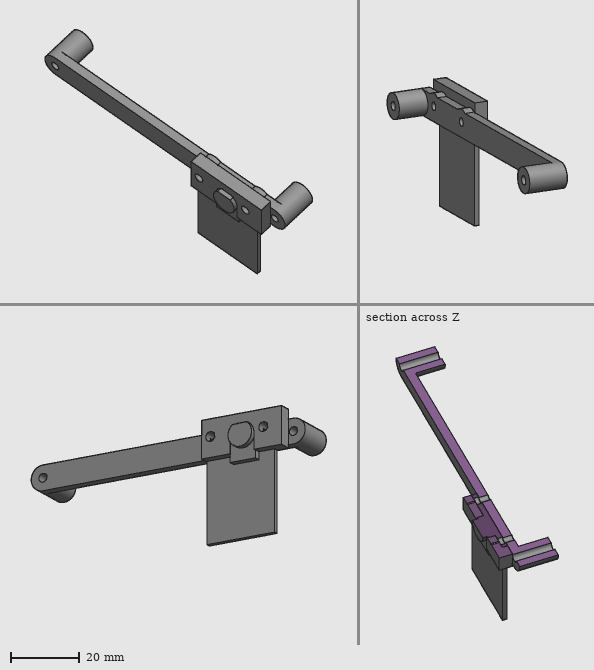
import cadquery as cq


overall_length = 93.0
arm_height = 8.0
arm_thickness = 3.0
post_length = 12.4
post_hole_diameter = 2.7
post_x = (overall_length - arm_height) / 2
lug_diameter = 8.0
lug_hole_diameter = 2.5
lug_z = 0.7

block_width = 27.2
block_height = 12.0
block_depth = 4.2
block_left = 13.8
block_top = 7.0
block_bottom = block_top - block_height

block_hole_diameter = 3.0
block_hole_z = 1.5
screw_spacing = 17.95
screw_left_x = 16.7
screw_xs = [screw_left_x, screw_left_x + screw_spacing]

plate_width = 23.0
plate_thickness = 1.5
plate_left = 14.0
plate_right = plate_left + plate_width
plate_top = 1.3
plate_bottom = -30.8
tongue_width = 8.65
tongue_bottom = -7.5
tongue_front = 3.6
button_diameter = 8.0
button_x = 27.4
button_z = 0.3
button_flat_z = 3.4
button_front = 5.4

travel_gap = 0.6
slot_side_gap = 0.1
slot_diameter = button_diameter + 2 * slot_side_gap
slot_flat_z = button_flat_z + travel_gap
pocket_top = plate_top + travel_gap


def box_between(x_min, x_max, y_min, y_max, z_min, z_max):
    """Axis-aligned box given by its limits."""
    size = (x_max - x_min, y_max - y_min, z_max - z_min)
    return cq.Workplane("XY").box(*size, centered=False).translate((x_min, y_min, z_min))


def cylinder_along_y(diameter, x, z, y_min, y_max):
    """Cylinder with its axis along Y, between two Y positions."""
    disc = cq.Workplane("XZ", origin=(x, y_min, z)).circle(diameter / 2)
    return disc.extrude(y_min - y_max)


def flat_topped_disc(diameter, flat_z, y_min, y_max):
    """Disc on the button axis, cut off level at flat_z."""
    disc = cylinder_along_y(diameter, button_x, button_z, y_min, y_max)
    keep = box_between(
        button_x - diameter, button_x + diameter, y_min, y_max, button_z - diameter, flat_z
    )
    return disc.intersect(keep)


def centered_strip(width, y_min, y_max, z_min, z_max):
    """Box centred on the button in X."""
    return box_between(
        button_x - width / 2, button_x + width / 2, y_min, y_max, z_min, z_max
    )


def make_arm():
    arm = box_between(-post_x, post_x, 0, arm_thickness, -arm_height / 2, arm_height / 2)
    for x in (-post_x, post_x):
        arm = arm.union(cylinder_along_y(arm_height, x, 0, 0, post_length))
    for x in screw_xs:
        arm = arm.union(cylinder_along_y(lug_diameter, x, lug_z, 0, arm_thickness))
    for x in (-post_x, post_x):
        arm = arm.cut(cylinder_along_y(post_hole_diameter, x, 0, 0, post_length))
    for x in screw_xs:
        arm = arm.cut(cylinder_along_y(lug_hole_diameter, x, lug_z, 0, arm_thickness))
    return arm


def make_block():
    block = box_between(
        block_left, block_left + block_width, -block_depth, 0, block_bottom, block_top
    )
    block = block.cut(
        box_between(plate_left, plate_right, -plate_thickness, 0, block_bottom, pocket_top)
    )
    block = block.cut(
        centered_strip(tongue_width, -tongue_front, -plate_thickness, block_bottom, pocket_top)
    )
    block = block.cut(flat_topped_disc(slot_diameter, slot_flat_z, -block_depth, -plate_thickness))
    block = block.cut(
        centered_strip(slot_diameter, -block_depth, -plate_thickness, block_bottom, button_z)
    )
    for x in screw_xs:
        block = block.cut(cylinder_along_y(block_hole_diameter, x, block_hole_z, -block_depth, 0))
    return block


def make_slider():
    slider = box_between(plate_left, plate_right, -plate_thickness, 0, plate_bottom, plate_top)
    notch_radius = block_hole_diameter / 2
    for x in screw_xs:
        slider = slider.cut(cylinder_along_y(block_hole_diameter, x, lug_z, -plate_thickness, 0))
        slider = slider.cut(
            box_between(x - notch_radius, x + notch_radius, -plate_thickness, 0, lug_z, plate_top)
        )
    tongue = centered_strip(tongue_width, -tongue_front, -plate_thickness, tongue_bottom, button_z)
    button = flat_topped_disc(button_diameter, button_flat_z, -button_front, -plate_thickness)
    return slider.union(tongue).union(button)


arm = make_arm()
block = make_block()
slider = make_slider()

result = cq.Compound.makeCompound([arm.val(), block.val(), slider.val()])